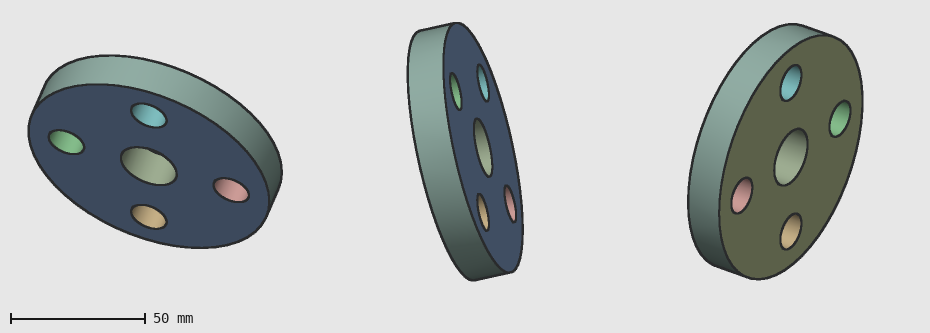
import cadquery as cq

outer_diameter = 95.0
thickness = 14.0
bore_diameter = 22.0
bolt_hole_diameter = 14.0
bolt_circle_diameter = 65.0
bolt_hole_count = 4


def make_disc():
    """Plain disc with its back face on the XZ plane."""
    return cq.Workplane("XZ").circle(outer_diameter / 2).extrude(thickness)


def make_bore():
    """Cutter for the central through hole."""
    return cq.Workplane("XZ").circle(bore_diameter / 2).extrude(thickness)


def make_bolt_holes():
    """Cutters evenly spaced on the bolt circle, starting on the X axis."""
    return (
        cq.Workplane("XZ")
        .polarArray(bolt_circle_diameter / 2, 0, 360, bolt_hole_count)
        .circle(bolt_hole_diameter / 2)
        .extrude(thickness)
    )


result = make_disc().cut(make_bore()).cut(make_bolt_holes())